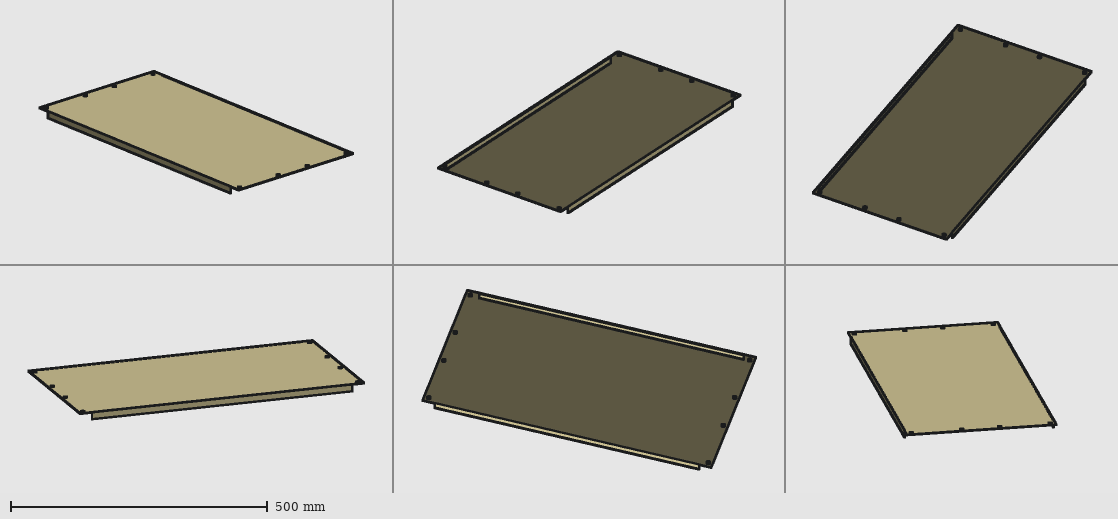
import cadquery as cq

length = 588.0
width = 297.0
sheet = 1.5
flange_drop = 13.5
height = flange_drop + sheet

flange_end_gap = 24.5
flange_length = length - 2 * flange_end_gap

hole_diameter = 6.5
hole_span_x = 569.0
outer_pair_span = 276.0
inner_pair_span = 75.0


def make_panel():
    panel = cq.Workplane("XY").box(length, width, sheet, centered=(True, True, False))
    return panel.translate((0, 0, flange_drop))


def make_flange(side):
    flange = cq.Workplane("XY").box(flange_length, sheet, height, centered=(True, True, False))
    return flange.translate((0, side * (width - sheet) / 2, 0))


def make_hole_cutters():
    centers = [
        (x_side * hole_span_x / 2, y_side * span / 2)
        for x_side in (-1, 1)
        for y_side in (-1, 1)
        for span in (outer_pair_span, inner_pair_span)
    ]
    return cq.Workplane("XY").pushPoints(centers).circle(hole_diameter / 2).extrude(height)


result = make_panel()
for side in (-1, 1):
    result = result.union(make_flange(side))
result = result.cut(make_hole_cutters())